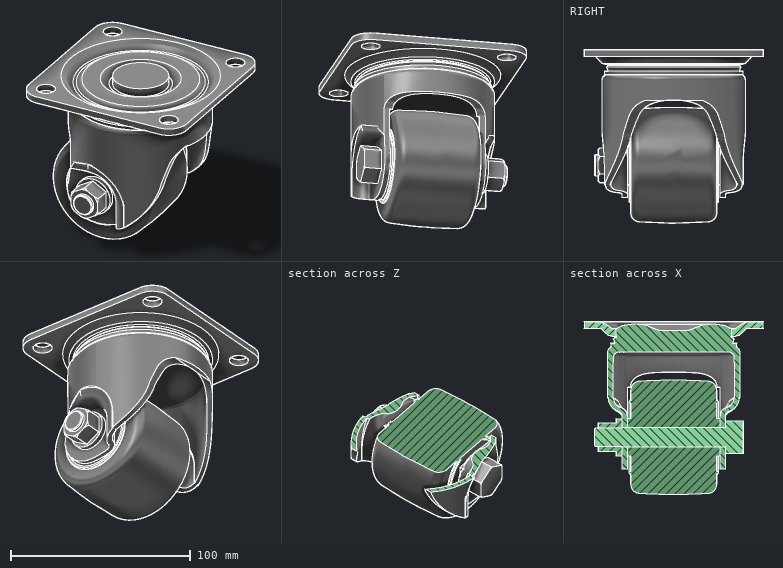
import cadquery as cq
import math


OVERALL_HEIGHT = 97.0

PLATE_SIDE = 100.0
PLATE_CORNER_R = 11.0
PLATE_THICK = 4.0
MOUNT_HOLE_D = 10.5
MOUNT_HOLE_SPACING = 78.0
PLATE_BORE_R = 36.0
DISH_TOP_R = 44.5
DISH_BEND_R = 41.0
DISH_BEND_DEPTH = 1.4
DISH_FLOOR_R = 37.8
DISH_FLOOR_DEPTH = 4.0
DISH_UNDER_R = 43.6
DISH_UNDER_BEND_R = 40.1
DISH_UNDER_BEND_DEPTH = 7.7
DISH_UNDER_END_R = 38.0
DISH_UNDER_DEPTH = 8.4

PIN_HEAD_R = 15.7
PIN_SEAT_R = 17.7
PIN_SEAT_DEPTH = 5.0
CREST_INNER_R = 22.6
CREST_INNER_DEPTH = 1.7
CREST_R = 26.7
CREST_DEPTH = 1.3
CREST_OUTER_R = 28.0
SHOULDER_R = 32.9
SHOULDER_DEPTH = 2.1
SEAL_NECK_DEPTH = 8.8
SEAL_NECK_R = 36.7
SEAL_R = 37.5
SEAL_EDGE_DEPTH = 9.7
SEAL_BOTTOM_DEPTH = 12.0
FORK_RING_R = 38.7

SHEET = 3.1
FORK_R = 40.1
FORK_CORNER = 29.0
FORK_TOP_DEPTH = 14.0
FORK_TOP_FILLET = 3.0
BARREL_BOTTOM_Z = -28.4
FRONT_ARCH_R = 8.3
LEG_ROUND_R = 18.0
REAR_ARC_R = 42.1
REAR_ARC_END_Z = -47.0
REAR_TOP_X = 31.5
REAR_TOP_Z = -36.7
REAR_ARCH_X = 36.8
SEAT_Y = 28.9
SEAT_R = 12.0
SEAT_FILLET = 2.7
POCKET_EDGE_R = 23.2
POCKET_EDGE_Y = 38.2
POCKET_FRONT_EDGE_R = 16.5
POCKET_FRONT_EDGE_Y = 29.1

AXLE_X = -13.0
WHEEL_CROWN_R = 32.4
AXLE_Z = WHEEL_CROWN_R - OVERALL_HEIGHT
TREAD_EDGE_R = 31.7
TREAD_HALF_WIDTH = 18.7
TREAD_ROUND_MID_R = 30.0
TREAD_ROUND_MID_Y = 22.7
WHEEL_FACE_R = 25.7
WHEEL_HALF_WIDTH = 24.0
HUB_R = 20.9
HUB_HALF_WIDTH = 25.1
HUB_CHAMFER = 0.6
HUB_RECESS_R = 19.2
HUB_RECESS_DEPTH = 1.0
BOSS_R = 11.0
BOLT_R = 6.0
BOLT_END_Y = -44.3
BOLT_END_CHAMFER = 0.5
BOLT_HEAD_FLATS = 18.9
BOLT_HEAD_HEIGHT = 9.9
BOLT_HEAD_CHAMFER = 0.5
NUT_FLATS = 16.9
NUT_HEIGHT = 10.1
NUT_CHAMFER = 1.0
WASHER_R = 10.9
WASHER_THICK = 3.2

LEG_INNER_Y = SEAT_Y - SHEET
REACH = 60.0


def axle_plane(y, outward):
    """Plane square to the axle at y, facing +Y or -Y, with local y along +Z."""
    return cq.Plane(origin=(AXLE_X, y, AXLE_Z), xDir=(-outward, 0, 0), normal=(0, outward, 0))


def axle_cylinder(radius, y_start, y_end):
    return cq.Workplane(axle_plane(y_start, 1)).circle(radius).extrude(y_end - y_start)


def make_plate():
    plate = (
        cq.Workplane("XY").rect(PLATE_SIDE, PLATE_SIDE).extrude(-PLATE_THICK)
        .edges("|Z").fillet(PLATE_CORNER_R)
        .faces(">Z").workplane()
        .rect(MOUNT_HOLE_SPACING, MOUNT_HOLE_SPACING, forConstruction=True)
        .vertices().hole(MOUNT_HOLE_D)
    )
    plate = plate.cut(cq.Workplane("XY").circle(DISH_TOP_R).extrude(-PLATE_THICK))
    dish = (
        cq.Workplane("XZ")
        .moveTo(DISH_TOP_R, 0)
        .lineTo(DISH_BEND_R, -DISH_BEND_DEPTH)
        .lineTo(DISH_FLOOR_R, -DISH_FLOOR_DEPTH)
        .lineTo(PLATE_BORE_R, -DISH_FLOOR_DEPTH)
        .lineTo(PLATE_BORE_R, -DISH_UNDER_DEPTH)
        .lineTo(DISH_UNDER_END_R, -DISH_UNDER_DEPTH)
        .lineTo(DISH_UNDER_BEND_R, -DISH_UNDER_BEND_DEPTH)
        .lineTo(DISH_UNDER_R, -PLATE_THICK)
        .lineTo(DISH_TOP_R, -PLATE_THICK)
        .close().revolve()
    )
    return plate.union(dish)


def swivel_head():
    """Domed head with the flush pin in its middle and the seal lip below the plate."""
    fork_joint_depth = FORK_TOP_DEPTH + FORK_TOP_FILLET
    return (
        cq.Workplane("XZ")
        .lineTo(PIN_HEAD_R, 0)
        .lineTo(PIN_HEAD_R, -PIN_SEAT_DEPTH)
        .lineTo(PIN_SEAT_R, -PIN_SEAT_DEPTH)
        .lineTo(CREST_INNER_R, -CREST_INNER_DEPTH)
        .lineTo(CREST_R, -CREST_DEPTH)
        .lineTo(CREST_OUTER_R, -CREST_DEPTH)
        .lineTo(SHOULDER_R, -SHOULDER_DEPTH)
        .lineTo(PLATE_BORE_R, -DISH_FLOOR_DEPTH)
        .lineTo(PLATE_BORE_R, -SEAL_NECK_DEPTH)
        .lineTo(SEAL_NECK_R, -SEAL_NECK_DEPTH)
        .lineTo(SEAL_R, -SEAL_EDGE_DEPTH)
        .lineTo(SEAL_NECK_R, -SEAL_BOTTOM_DEPTH)
        .lineTo(FORK_RING_R, -SEAL_BOTTOM_DEPTH)
        .lineTo(FORK_RING_R, -FORK_TOP_DEPTH)
        .lineTo(SEAL_NECK_R, -fork_joint_depth)
        .lineTo(0, -fork_joint_depth)
        .close().revolve()
    )


def fork_envelope(top_z, inset=0.0):
    """Round-topped block, a half circle at the rear and three flatter arcs at the front and sides."""
    corner_drop = FORK_R - FORK_CORNER
    flat_arc_r = (FORK_CORNER ** 2 + corner_drop ** 2) / (2 * corner_drop)
    arc_offset = flat_arc_r - FORK_R

    def cylinder(x, y, radius):
        return (
            cq.Workplane("XY", origin=(x, y, top_z)).circle(radius - inset).extrude(-2 * REACH)
            .faces(">Z").edges().fillet(FORK_TOP_FILLET)
        )

    front_side = cq.Workplane("XY").box(REACH, 2 * REACH, 6 * REACH, centered=(False, True, True))
    front = cylinder(arc_offset, 0, flat_arc_r)
    front = front.intersect(cylinder(0, arc_offset, flat_arc_r))
    front = front.intersect(cylinder(0, -arc_offset, flat_arc_r))
    front = front.intersect(front_side.translate((-REACH, 0, 0)))
    rear = cylinder(0, 0, FORK_R).intersect(front_side)
    return front.union(rear)


def leg_profile(y_min, y_max):
    """Side outline of barrel and leg, extruded from y_min to y_max."""
    leg_front_x = -FORK_CORNER
    diagonal = math.sqrt(0.5)
    arch_mid = FRONT_ARCH_R * (1 - diagonal)

    leg_bottom_z = AXLE_Z - LEG_ROUND_R
    edge_end = (AXLE_X - LEG_ROUND_R, AXLE_Z)
    edge_start = (leg_front_x, AXLE_Z + SEAT_R)
    round_mid = (AXLE_X - LEG_ROUND_R * diagonal, AXLE_Z - LEG_ROUND_R * diagonal)

    rear_centre_z = leg_bottom_z + REAR_ARC_R
    rear_sweep = math.acos((rear_centre_z - REAR_ARC_END_Z) / REAR_ARC_R)

    def rear_point(angle):
        return (AXLE_X + REAR_ARC_R * math.sin(angle), rear_centre_z - REAR_ARC_R * math.cos(angle))

    return (
        cq.Workplane("XZ", origin=(0, y_max, 0))
        .moveTo(-REACH, 0)
        .lineTo(-REACH, BARREL_BOTTOM_Z)
        .lineTo(leg_front_x - FRONT_ARCH_R, BARREL_BOTTOM_Z)
        .threePointArc(
            (leg_front_x - arch_mid, BARREL_BOTTOM_Z - arch_mid),
            (leg_front_x, BARREL_BOTTOM_Z - FRONT_ARCH_R),
        )
        .lineTo(*edge_start)
        .lineTo(*edge_end)
        .threePointArc(round_mid, (AXLE_X, leg_bottom_z))
        .threePointArc(rear_point(rear_sweep / 2), rear_point(rear_sweep))
        .lineTo(REAR_TOP_X, REAR_TOP_Z)
        .tangentArcPoint((REAR_ARCH_X, BARREL_BOTTOM_Z), relative=False)
        .lineTo(REACH, BARREL_BOTTOM_Z)
        .lineTo(REACH, 0)
        .close().extrude(y_max - y_min)
    )


def pocket_section(plane, inset, edge_r, edge_y):
    """Half section of the pocket; its wall is an S of two arcs, level at the seat and at the rim."""
    floor_y = SEAT_Y - inset
    rise = edge_y - SEAT_Y
    run = edge_r - SEAT_R
    turn = 2 * math.atan(rise / run)
    fillet_r = SEAT_FILLET + inset
    round_r = run / math.sin(turn) - fillet_r

    def fillet_point(angle):
        return (SEAT_R + fillet_r * math.sin(angle), floor_y + fillet_r * (1 - math.cos(angle)))

    def round_point(angle):
        return (edge_r - round_r * math.sin(angle), floor_y + rise - round_r * (1 - math.cos(angle)))

    return (
        cq.Workplane(plane)
        .moveTo(0, floor_y)
        .lineTo(SEAT_R, floor_y)
        .threePointArc(fillet_point(turn / 2), fillet_point(turn))
        .threePointArc(round_point(turn / 2), round_point(0))
        .lineTo(edge_r, REACH)
        .lineTo(0, REACH)
        .close()
    )


def pocket(inset):
    """Space outside the -Y seat, open to the front and below. An inset moves its wall inward."""
    floor_y = SEAT_Y - inset
    rear_plane = cq.Plane(origin=(AXLE_X, 0, AXLE_Z), xDir=(1, 0, 0), normal=(0, 0, -1))
    upper_plane = cq.Plane(origin=(AXLE_X, 0, AXLE_Z), xDir=(0, 0, 1), normal=(1, 0, 0))
    front_plane = cq.Plane(origin=(AXLE_X - LEG_ROUND_R, 0, AXLE_Z), xDir=(0, 0, 1), normal=(1, 0, 0))

    rear_section = pocket_section(rear_plane, inset, POCKET_EDGE_R, POCKET_EDGE_Y)
    upper_section = pocket_section(upper_plane, inset, POCKET_EDGE_R, POCKET_EDGE_Y)
    front_section = pocket_section(front_plane, inset, POCKET_FRONT_EDGE_R, POCKET_FRONT_EDGE_Y)

    rear_wall = rear_section.extrude(REACH)
    round_corner = rear_section.toPending().revolve(90, (0, 0), (0, 1))
    upper_wall = cq.Workplane(
        cq.Solid.makeLoft([upper_section.wire().val(), front_section.wire().val()], True)
    )
    open_corner = cq.Workplane("XY").box(REACH, REACH, REACH, centered=False).translate(
        (AXLE_X - REACH, -floor_y - REACH, AXLE_Z - REACH)
    )
    return round_corner.union(rear_wall).union(upper_wall).union(open_corner)


def make_fork():
    """Sheet shell with a recessed flat seat on each side, closed at the top by the swivel head."""
    body = fork_envelope(-FORK_TOP_DEPTH)
    body = body.intersect(leg_profile(-REACH, REACH))
    cavity = fork_envelope(-FORK_TOP_DEPTH - SHEET, SHEET)

    pocket_space = pocket(0)
    pocket_with_wall = pocket(SHEET)
    seat = leg_profile(-SEAT_Y, -LEG_INNER_Y).intersect(
        cq.Workplane("XY").box(REACH, 2 * REACH, REACH, centered=(False, True, False)).translate(
            (AXLE_X + SEAT_R - REACH, 0, AXLE_Z + SEAT_R - REACH)
        )
    )
    for side_pocket in (pocket_space, pocket_space.mirror("XZ")):
        body = body.cut(side_pocket)
    for side_wall in (pocket_with_wall, pocket_with_wall.mirror("XZ")):
        cavity = cavity.cut(side_wall)
    body = body.cut(cavity)
    for side_seat in (seat, seat.mirror("XZ")):
        body = body.union(side_seat)

    slot = cq.Workplane("XY").box(REACH, 2 * LEG_INNER_Y, REACH, centered=(False, True, False)).translate(
        (AXLE_X - REACH, 0, BARREL_BOTTOM_Z - FRONT_ARCH_R - REACH)
    )
    body = body.cut(slot).union(swivel_head())
    return body.cut(axle_cylinder(BOLT_R, -REACH, REACH))


def make_wheel():
    recess_y = HUB_HALF_WIDTH - HUB_RECESS_DEPTH
    half_section = [
        (BOLT_R, LEG_INNER_Y),
        (BOSS_R, LEG_INNER_Y),
        (BOSS_R, recess_y),
        (HUB_RECESS_R, recess_y),
        (HUB_RECESS_R, HUB_HALF_WIDTH),
        (HUB_R - HUB_CHAMFER, HUB_HALF_WIDTH),
        (HUB_R, HUB_HALF_WIDTH - HUB_CHAMFER),
        (HUB_R, WHEEL_HALF_WIDTH),
        (WHEEL_FACE_R, WHEEL_HALF_WIDTH),
    ]
    other_half = [(r, -y) for r, y in reversed(half_section)]
    return (
        cq.Workplane("XY", origin=(AXLE_X, 0, AXLE_Z))
        .polyline(half_section)
        .threePointArc((TREAD_ROUND_MID_R, TREAD_ROUND_MID_Y), (TREAD_EDGE_R, TREAD_HALF_WIDTH))
        .threePointArc((WHEEL_CROWN_R, 0), (TREAD_EDGE_R, -TREAD_HALF_WIDTH))
        .threePointArc((TREAD_ROUND_MID_R, -TREAD_ROUND_MID_Y), other_half[0])
        .polyline(other_half, includeCurrent=False)
        .close().revolve(360, (0, 0), (0, 1))
    )


def hexagon(flats, y_start, height, outward, chamfer):
    """Hexagonal prism with a corner up and its outer corners chamfered."""
    corner_d = flats / math.cos(math.pi / 6)
    plane = axle_plane(y_start, outward)
    prism = cq.Workplane(plane).transformed(rotate=(0, 0, 90)).polygon(6, corner_d).extrude(height)
    limit = cq.Workplane(plane).circle(corner_d / 2).extrude(height)
    limit = limit.faces(cq.selectors.DirectionMinMaxSelector(cq.Vector(0, outward, 0))).chamfer(chamfer)
    return prism.intersect(limit)


def make_bolt():
    shank = axle_cylinder(BOLT_R, BOLT_END_Y, SEAT_Y).faces("<Y").chamfer(BOLT_END_CHAMFER)
    return shank.union(hexagon(BOLT_HEAD_FLATS, SEAT_Y, BOLT_HEAD_HEIGHT, 1, BOLT_HEAD_CHAMFER))


def make_nut():
    """Nut with its washer, on the -Y side."""
    washer_face_y = -SEAT_Y - WASHER_THICK
    washer = axle_cylinder(WASHER_R, washer_face_y, -SEAT_Y)
    nut = washer.union(hexagon(NUT_FLATS, washer_face_y, NUT_HEIGHT, -1, NUT_CHAMFER))
    return nut.cut(axle_cylinder(BOLT_R, -REACH, 0))


plate = make_plate()
fork = make_fork()
wheel = make_wheel()
bolt = make_bolt()
nut = make_nut()

bodies = [plate, fork, wheel, bolt, nut]
result = cq.Compound.makeCompound([body.solids().val() for body in bodies])